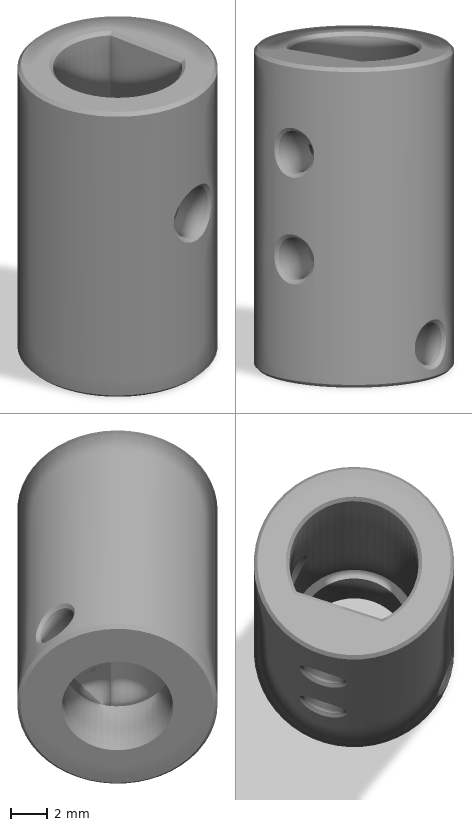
import cadquery as cq

length = 18
outer_diameter = 11.0
outer_radius = outer_diameter / 2
edge_break = 0.2

round_bore_diameter = 6.1
round_bore_depth = 4.0
d_bore_diameter = 7.1
d_bore_flat = 2.54

small_hole_diameter = 2.4
large_hole_diameter = 3.0
round_bore_hole_height = round_bore_depth / 2
lower_flat_hole_height = 7.0
upper_flat_hole_height = 13.0
side_hole_height = 10.5


def sleeve():
    body = cq.Workplane("XY").circle(outer_radius).extrude(length)
    return body.faces("<Z or >Z").edges().chamfer(edge_break)


def radial_hole(body, direction, height, diameter):
    """Drill one wall from the axis outward and chamfer the hole's outer rim."""
    drill = cq.Solid.makeCylinder(
        diameter / 2, outer_diameter, cq.Vector(0, 0, height), direction
    )
    drilled = body.cut(cq.Workplane(drill))
    rim_point = direction * outer_radius + cq.Vector(0, 0, height)
    rim = cq.selectors.NearestToPointSelector(rim_point.toTuple())
    return drilled.edges(rim).chamfer(edge_break)


def d_bore():
    """D-shaped cutter from the step up to the top face."""
    depth = length - round_bore_depth
    cylinder = cq.Workplane("XY").circle(d_bore_diameter / 2).extrude(depth)
    below_flat = (
        cq.Workplane("XY")
        .center(0, d_bore_flat - d_bore_diameter / 2)
        .rect(d_bore_diameter, d_bore_diameter)
        .extrude(depth)
    )
    return cylinder.intersect(below_flat).translate((0, 0, round_bore_depth))


plus_x = cq.Vector(1, 0, 0)
plus_y = cq.Vector(0, 1, 0)
part = sleeve()
part = radial_hole(part, -plus_x, round_bore_hole_height, small_hole_diameter)
part = radial_hole(part, plus_x, side_hole_height, large_hole_diameter)
for hole_height in (lower_flat_hole_height, upper_flat_hole_height):
    part = radial_hole(part, plus_y, hole_height, small_hole_diameter)

round_bore = cq.Workplane("XY").circle(round_bore_diameter / 2).extrude(round_bore_depth)
part = part.cut(round_bore)
part = part.cut(d_bore())

mouth_reach = d_bore_diameter + 2 * edge_break
mouth = cq.selectors.BoxSelector(
    (-mouth_reach / 2, -mouth_reach / 2, length - edge_break / 2),
    (mouth_reach / 2, mouth_reach / 2, length + edge_break / 2),
    boundingbox=True,
)
result = part.edges(mouth).chamfer(edge_break)